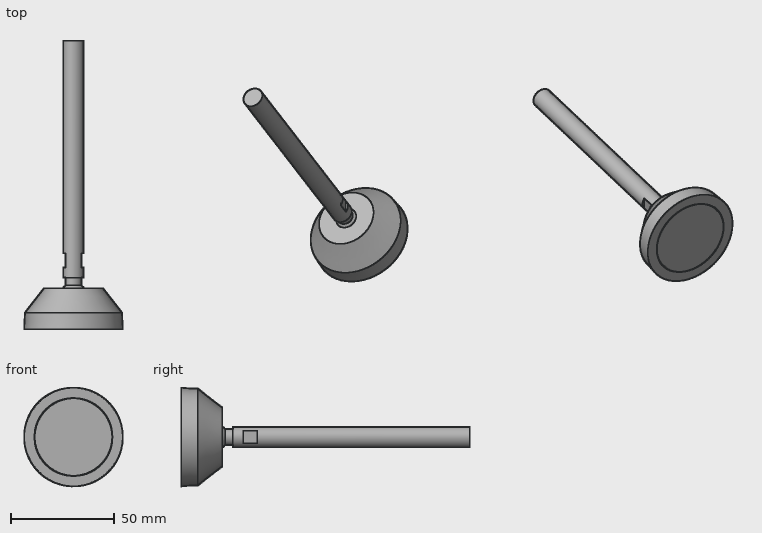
import cadquery as cq

total_length = 140.0
base_diameter = 48.0

base_height = 20.0
rim_height = 8.1
rim_top_diameter = 47.2
top_diameter = 28.5

disc_diameter = 37.5
groove_diameter = 38.0
groove_depth = 2.0

spindle_diameter = 10.0
neck_diameter = 7.8
shoulder_height = 25.0
ball_diameter = 13.0
neck_start = 21.3

across_flats = 7.8
flat_start = 30.1
flat_length = 6.7

ball_radius = ball_diameter / 2
neck_radius = neck_diameter / 2
ball_center = neck_start - (ball_radius**2 - neck_radius**2) ** 0.5


def cylinder(diameter, start, end):
    """Cylinder on the Y axis between two heights."""
    return (
        cq.Workplane("XZ", origin=(0, start, 0))
        .circle(diameter / 2)
        .extrude(start - end)
    )


def ball():
    """Sphere shared by the spindle end and its socket."""
    return (
        cq.Workplane("XY")
        .moveTo(0, ball_center - ball_radius)
        .threePointArc((ball_radius, ball_center), (0, ball_center + ball_radius))
        .close()
        .revolve(360, (0, 0, 0), (0, 1, 0))
    )


def make_spindle():
    """Rod with two wrench flats, a reduced neck and a ball end."""
    neck = cylinder(neck_diameter, ball_center, shoulder_height)
    rod = cylinder(spindle_diameter, shoulder_height, total_length)
    flat_center = flat_start + flat_length / 2
    flat_zone = cq.Workplane("XY").box(spindle_diameter, flat_length, spindle_diameter)
    kept_core = cq.Workplane("XY").box(across_flats, flat_length, spindle_diameter)
    flat_cuts = flat_zone.cut(kept_core).translate((0, flat_center, 0))
    return ball().union(neck).union(rod).cut(flat_cuts)


def make_base():
    """Conical base with a ball socket on top and a ring groove in its sole."""
    body = (
        cq.Workplane("XY")
        .polyline([
            (0, 0),
            (base_diameter / 2, 0),
            (rim_top_diameter / 2, rim_height),
            (top_diameter / 2, base_height),
            (0, base_height),
        ])
        .close()
        .revolve(360, (0, 0, 0), (0, 1, 0))
    )
    disc = cylinder(disc_diameter, 0, groove_depth)
    groove = cylinder(groove_diameter, 0, groove_depth).cut(disc)
    return body.cut(groove).cut(ball())


spindle = make_spindle()
base = make_base()

result = cq.Compound.makeCompound([spindle.val(), base.val()])